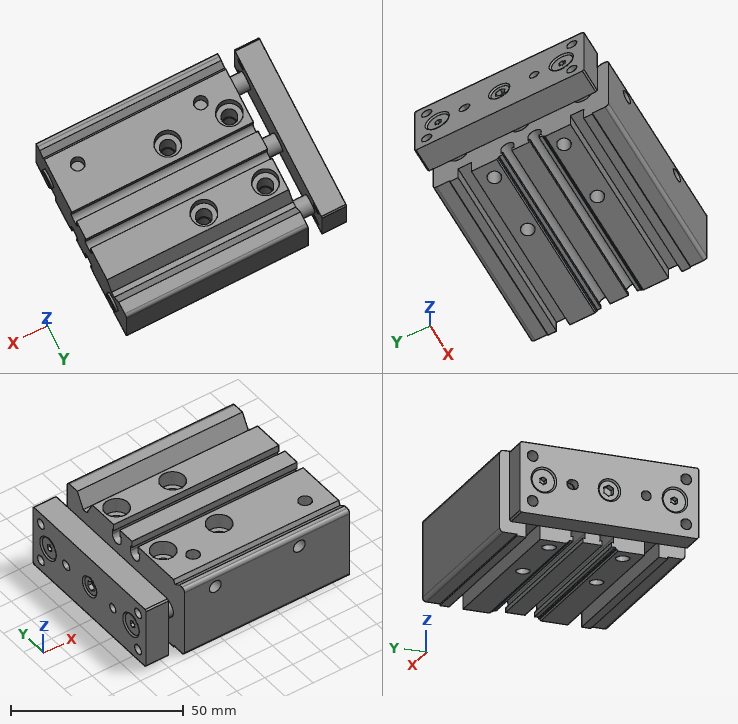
import cadquery as cq
import math


overall_length = 73.0
housing_start = 13.0
housing_length = 59.0
housing_width = 58.0
housing_height = 26.0
half_width = housing_width / 2
half_height = housing_height / 2

corner_radius = 1.2
foot_height = 0.5
foot_outer_y = 23.6
center_relief = 1.0
relief_half_width = 7.2
relief_slope = 0.8

top_groove_y = 20.22
top_groove_width = 7.45
top_groove_depth = 5.0
top_groove_wall_angle = 60.0

notch_inner_y = -23.55
notch_bottom_y = -24.3
notch_outer_y = -26.5
notch_depth = 1.4

sensor_slot_y = 4.5
sensor_neck_width = 3.0
sensor_head_width = 4.3
sensor_neck_depth = 2.4
sensor_head_center_depth = 4.0

foot_slot_y = 18.55
foot_slot_width = 4.4
foot_slot_depth = 5.0

mount_hole_x = (18.0, 38.0)
mount_hole_y = 11.5
mount_clearance_diameter = 4.8
mount_thread_diameter = 4.2
mount_thread_depth = 10.0
counterbore_diameter = 8.0
counterbore_depth = 5.1

port_diameter = 4.2
port_depth = 6.0
top_port_x = (24.0, 64.0)
top_port_y = -18.0
side_port_x = (24.0, 54.0)
side_port_z = 8.5

plate_thickness = 8.0
plate_width = 56.0
plate_height = 22.0
plate_edge_chamfer = 0.5
plate_thread_diameter = 3.3
plate_thread_y = 24.0
plate_thread_z = 7.0
dowel_diameter = 3.0
dowel_y = 11.5
dowel_slot_length = 3.5
dowel_slot_depth = 3.0
dowel_depth = 6.0

rod_diameter = 6.0
guide_rod_y = 20.5
center_rod_end = housing_start + housing_length / 2
rod_tip_chamfer = 0.3
recess_depth = 0.5
recess_angle = 45.0
guide_recess_diameter = 8.0
center_recess_diameter = 7.0
guide_hex_width = 2.0
center_hex_width = 3.0
hex_depth = 2.0


def along_x(start, points):
    """Sketch centres for features extruded along X, placed at (Y, Z) points on the plane X = start."""
    return cq.Workplane("YZ", origin=(start, 0, 0)).pushPoints(points)


def bored_down(top_z, points, diameter, depth):
    """Round cutters going down from the plane Z = top_z at (X, Y) points."""
    return cq.Workplane("XY", origin=(0, 0, top_z)).pushPoints(points).circle(diameter / 2).extrude(-depth)


def housing_prism(profile):
    """Extrude a (Y, Z) profile over the length of the housing."""
    return profile.extrude(housing_length)


def housing_sketch():
    return cq.Workplane("YZ", origin=(housing_start, 0, 0))


def top_groove():
    top_half = top_groove_width / 2
    bottom_half = top_half - top_groove_depth / math.tan(math.radians(top_groove_wall_angle))
    bottom_z = half_height - top_groove_depth
    return housing_prism(housing_sketch().polyline([
        (top_groove_y - top_half, half_height),
        (top_groove_y - bottom_half, bottom_z),
        (top_groove_y + bottom_half, bottom_z),
        (top_groove_y + top_half, half_height),
    ]).close())


def edge_notch():
    return housing_prism(housing_sketch().polyline([
        (notch_inner_y, half_height),
        (notch_bottom_y, half_height - notch_depth),
        (notch_outer_y, half_height),
    ]).close())


def sensor_slot(y, side):
    """Slot with a narrow neck and a wider round-bottomed head; side is +1 for top, -1 for underside."""
    neck = sensor_neck_width / 2
    head = sensor_head_width / 2
    face_z = side * half_height
    shoulder_z = side * (half_height - sensor_neck_depth)
    center_z = side * (half_height - sensor_head_center_depth)
    bottom_z = center_z - side * head
    return housing_prism(
        housing_sketch()
        .moveTo(y - neck, face_z)
        .lineTo(y - neck, shoulder_z)
        .lineTo(y - head, shoulder_z)
        .lineTo(y - head, center_z)
        .threePointArc((y, bottom_z), (y + head, center_z))
        .lineTo(y + head, shoulder_z)
        .lineTo(y + neck, shoulder_z)
        .lineTo(y + neck, face_z)
        .close()
    )


def foot_slot(y):
    bottom = -half_height
    return housing_prism(
        housing_sketch()
        .center(y, bottom + foot_slot_depth / 2)
        .rect(foot_slot_width, foot_slot_depth)
    )


def housing_foot(side):
    """Raised strip under the housing on the +Y (side = 1) or -Y (side = -1) half."""
    relief_z = center_relief - half_height
    return housing_prism(housing_sketch().polyline([
        (side * foot_outer_y, relief_z),
        (side * foot_outer_y, -half_height),
        (side * (relief_half_width + relief_slope), -half_height),
        (side * relief_half_width, relief_z),
    ]).close())


def make_housing():
    underside = foot_height - half_height
    body = housing_prism(
        housing_sketch()
        .center(0, (half_height + underside) / 2)
        .rect(housing_width, half_height - underside)
    ).edges("|X").fillet(corner_radius)
    for side in (1, -1):
        body = body.union(housing_foot(side))
    body = body.cut(
        cq.Workplane("XY")
        .box(housing_length, 2 * relief_half_width, center_relief, centered=(False, True, False))
        .translate((housing_start, 0, -half_height))
    )
    body = body.cut(top_groove()).cut(edge_notch())
    for y in (sensor_slot_y, -sensor_slot_y):
        for side in (1, -1):
            body = body.cut(sensor_slot(y, side))
    for y in (foot_slot_y, -foot_slot_y):
        body = body.cut(foot_slot(y))

    mounts = [(x, y) for x in mount_hole_x for y in (mount_hole_y, -mount_hole_y)]
    body = body.cut(bored_down(half_height, mounts, counterbore_diameter, counterbore_depth))
    body = body.cut(bored_down(
        half_height, mounts, mount_clearance_diameter, housing_height - mount_thread_depth))
    body = body.cut(bored_down(half_height, mounts, mount_thread_diameter, housing_height))

    top_ports = [(x, top_port_y) for x in top_port_x]
    body = body.cut(bored_down(half_height, top_ports, port_diameter, port_depth))
    side_ports = (
        cq.Workplane("XZ", origin=(0, -half_width, 0))
        .pushPoints([(x, side_port_z) for x in side_port_x])
        .circle(port_diameter / 2)
        .extrude(-port_depth)
    )
    body = body.cut(side_ports)

    guide_bores = (
        along_x(housing_start, [(guide_rod_y, 0), (-guide_rod_y, 0)])
        .circle(rod_diameter / 2)
        .extrude(housing_length)
    )
    center_bore = (
        along_x(housing_start, [(0, 0)])
        .circle(rod_diameter / 2)
        .extrude(center_rod_end - housing_start)
    )
    return body.cut(guide_bores).cut(center_bore)


def rod(y, end_x):
    return along_x(plate_thickness, [(y, 0)]).circle(rod_diameter / 2).extrude(end_x - plate_thickness)


def screw_recess(y, diameter, hex_width):
    """Shallow conical recess with a hexagonal socket in its floor; two hex flats face +Y and -Y."""
    cone = along_x(0, [(y, 0)]).circle(diameter / 2).extrude(recess_depth, taper=recess_angle)
    corner_distance = hex_width / math.cos(math.radians(30))
    socket = (
        cq.Workplane("YZ")
        .center(y, 0)
        .transformed(rotate=(0, 0, 90))
        .polygon(6, corner_distance)
        .extrude(recess_depth + hex_depth)
    )
    return cone.union(socket)


def make_tool_plate():
    plate = (
        along_x(0, [(0, 0)])
        .rect(plate_width, plate_height)
        .extrude(plate_thickness)
        .edges("|X")
        .chamfer(plate_edge_chamfer)
    )
    threads = [(y, z) for y in (plate_thread_y, -plate_thread_y) for z in (plate_thread_z, -plate_thread_z)]
    plate = plate.cut(along_x(0, threads).circle(plate_thread_diameter / 2).extrude(plate_thickness))
    dowels = [(dowel_y, 0), (-dowel_y, 0)]
    plate = plate.cut(along_x(0, dowels).circle(dowel_diameter / 2).extrude(dowel_depth))
    plate = plate.cut(
        along_x(0, [(dowel_y, 0)])
        .slot2D(dowel_slot_length, dowel_diameter)
        .extrude(dowel_slot_depth)
    )

    plate = plate.union(rod(0, center_rod_end))
    plate = plate.cut(screw_recess(0, center_recess_diameter, center_hex_width))
    for y in (guide_rod_y, -guide_rod_y):
        guide_rod = rod(y, overall_length).faces(">X").chamfer(rod_tip_chamfer)
        plate = plate.union(guide_rod)
        plate = plate.cut(screw_recess(y, guide_recess_diameter, guide_hex_width))
    return plate


housing = make_housing()
tool_plate = make_tool_plate()

result = cq.Compound.makeCompound([housing.solids().val(), tool_plate.solids().val()])